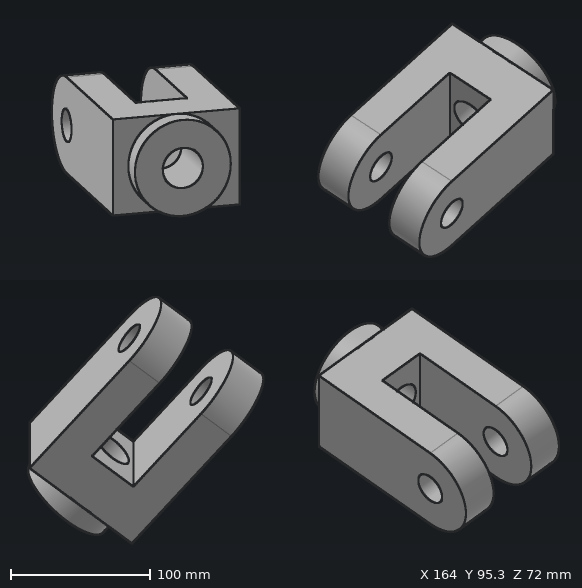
import cadquery as cq

total_length = 164.0
width = 95.3
height = 72.0

boss_length = 15.9
slot_width = 38.4
pin_hole_diameter = 24.0
bore_diameter = 30.0

tip_radius = height / 2
body_length = total_length - boss_length
base_thickness = height / 2
slot_depth = body_length - base_thickness


def fork_body():
    """Block with a full-round end, centred on Y and Z, with the tip at X = 0."""
    profile = (
        cq.Workplane("XZ")
        .moveTo(body_length, -tip_radius)
        .lineTo(tip_radius, -tip_radius)
        .threePointArc((0, 0), (tip_radius, tip_radius))
        .lineTo(body_length, tip_radius)
        .close()
    )
    return profile.extrude(width / 2, both=True)


def boss():
    """Round boss on the back of the base, as wide as the body is high."""
    return cq.Workplane("YZ", origin=(body_length, 0, 0)).circle(height / 2).extrude(boss_length)


def fork_slot():
    """Gap between the two arms, open at the tips."""
    return cq.Workplane("XY").box(slot_depth, slot_width, height, centered=(False, True, True))


def pin_hole():
    """Cross hole through both arms, concentric with the rounded tips."""
    axis_plane = cq.Workplane("XZ", origin=(tip_radius, 0, 0))
    return axis_plane.circle(pin_hole_diameter / 2).extrude(width / 2, both=True)


def bore():
    """Hole along X through the base and the boss."""
    return cq.Workplane("YZ").circle(bore_diameter / 2).extrude(total_length)


result = fork_body().union(boss()).cut(fork_slot()).cut(pin_hole()).cut(bore())